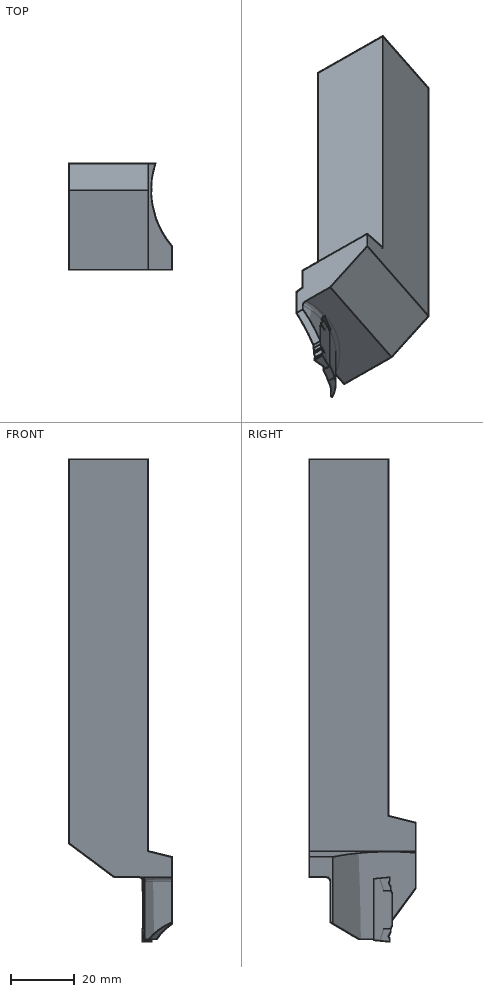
import cadquery as cq
import math


total_height = 151.35
shank_size = 24.9
base_x = 32.4
base_y = 33.4
side_flange_height = 8.2
rear_flange_height = 19.25
flange_slope = math.radians(14)
base_chamfer_x = 14.2
base_chamfer_z = 10.6

cutting_height_y = 25.0
blade_outer_x = 23.1
blade_outer_radius = 23.0
blade_inner_x = 25.85
blade_inner_radius = 27.0
blade_root_fillet = 1.2
blade_depth = 19.5
blade_heel_depth = 14.1
blade_heel_y = 6.5
blade_slope_end_y = 15.6
upper_jaw_depth = 13.4
upper_jaw_rear_depth = 3.5

insert_length = 20.3
insert_side_x = 23.15
insert_seat_y = 20.2
insert_top_y = 26.1
insert_body_width = 2.7
insert_tip_width = 3.1
side_clearance = math.radians(6)
cutting_edge_y = 25.3
tip_land = 0.9
chip_groove_y = 24.9
chip_groove_length = 1.8
chip_rise_length = 3.1
head_length = 4.2
head_top_y = 25.6
clamp_land_length = 5.2
end_relief = 0.5
head_side_root_y = 23.3
head_side_end_y = 21.9

shank_height = total_height - insert_length
concave_cut_depth = 2 * insert_length


def block(size_x, size_y, z_bottom, z_top):
    return cq.Workplane("XY", origin=(0, 0, z_bottom)).box(
        size_x, size_y, z_top - z_bottom, centered=False)


def upright_cylinder(center_x, radius, z_bottom, z_top):
    return (cq.Workplane("XY", origin=(center_x, cutting_height_y, z_bottom))
            .circle(radius).extrude(z_top - z_bottom))


def side_prism(points, x_start, x_end):
    """Extrude a (Y, Z) outline along X."""
    return cq.Workplane("YZ", origin=(x_start, 0, 0)).polyline(points).close().extrude(x_end - x_start)


def make_shank_and_base():
    rear_drop = (base_y - shank_size) * math.tan(flange_slope)
    side_drop = (base_x - shank_size) * math.tan(flange_slope)
    shank = block(shank_size, shank_size, 0, shank_height)
    rear_flange = side_prism(
        [(0, 0), (base_y, 0), (base_y, rear_flange_height - rear_drop),
         (shank_size, rear_flange_height), (0, rear_flange_height)],
        0, shank_size)
    side_flange = (
        cq.Workplane("XZ")
        .polyline([(0, 0), (base_x, 0), (base_x, side_flange_height - side_drop),
                   (shank_size, side_flange_height), (0, side_flange_height)])
        .close().extrude(-base_y))
    chamfer = (
        cq.Workplane("XZ")
        .polyline([(0, 0), (base_chamfer_x, 0), (0, base_chamfer_z)])
        .close().extrude(-base_y))
    return shank.union(rear_flange).union(side_flange).cut(chamfer)


def make_blade():
    axis_x = blade_outer_x + blade_outer_radius
    flare_radius = blade_outer_radius + blade_root_fillet
    fillet_middle = blade_root_fillet * (1 - math.sqrt(0.5))
    column = (
        cq.Workplane("XZ", origin=(axis_x, cutting_height_y, 0))
        .moveTo(0, 0)
        .lineTo(flare_radius, 0)
        .threePointArc((blade_outer_radius + fillet_middle, -fillet_middle),
                       (blade_outer_radius, -blade_root_fillet))
        .lineTo(blade_outer_radius, -blade_depth)
        .lineTo(0, -blade_depth)
        .close()
        .revolve(360, (0, 0, 0), (0, 1, 0)))
    jaws = side_prism(
        [(0, 0), (0, -blade_root_fillet), (blade_heel_y, -blade_root_fillet),
         (blade_heel_y, -blade_heel_depth), (blade_slope_end_y, -blade_depth),
         (insert_seat_y, -blade_depth), (insert_seat_y, -upper_jaw_depth),
         (insert_top_y, -upper_jaw_depth), (base_y, -upper_jaw_rear_depth), (base_y, 0)],
        0, base_x)
    return column.intersect(jaws)


def make_insert_side_prism(width, center_x):
    """The insert's side outline, the same at both ends, at a given width."""
    end_outline = [
        (insert_seat_y, end_relief),
        (cutting_edge_y, 0),
        (cutting_edge_y, tip_land),
        (chip_groove_y, chip_groove_length),
        (head_top_y, chip_rise_length),
        (head_top_y, head_length),
        (insert_top_y, clamp_land_length),
    ]
    lower_end = [(y, distance - insert_length) for y, distance in end_outline]
    upper_end = [(y, -distance) for y, distance in reversed(end_outline)]
    return side_prism(lower_end + upper_end, center_x - width / 2, center_x + width / 2)


def make_tapered_bar(end_sections, side_slope, center_x):
    """Upright bar through a lower and an upper section, its sides widening towards +Y.

    Each section is its Z, the Y where it starts and its half width there.
    """
    bar = cq.Workplane("XY")
    height = 0
    for z, root_y, half_root in end_sections:
        half_top = half_root + side_slope * (base_y - root_y)
        bar = (bar.workplane(offset=z - height)
               .polyline([(center_x - half_root, root_y), (center_x + half_root, root_y),
                          (center_x + half_top, base_y), (center_x - half_top, base_y)])
               .close())
        height = z
    return bar.loft(ruled=True)


def make_insert():
    center_x = insert_side_x + insert_body_width / 2
    outline = make_insert_side_prism(2 * insert_tip_width, center_x)
    body_slope = math.tan(side_clearance)

    def body_section(z, y):
        return (z, y, insert_body_width / 2 - (insert_top_y - y) * body_slope)

    body = outline.intersect(make_tapered_bar(
        [body_section(-insert_length, insert_seat_y), body_section(0, insert_seat_y)],
        body_slope, center_x))

    end_section = body_section(-insert_length, head_side_end_y)
    inner_section = body_section(head_length - insert_length, head_side_root_y)
    end_half_width = end_section[2]
    head_slope = (insert_tip_width / 2 - end_half_width) / (cutting_edge_y - head_side_end_y)
    lower_head = outline.intersect(
        make_tapered_bar([end_section, inner_section], head_slope, center_x))
    upper_head = lower_head.mirror("XY", (0, 0, -insert_length / 2))
    return body.union(lower_head).union(upper_head)


concave_cut = upright_cylinder(blade_inner_x + blade_inner_radius, blade_inner_radius,
                               -concave_cut_depth, shank_height)
insert_seat = make_insert_side_prism(base_x, base_x / 2)
holder = make_shank_and_base().union(make_blade()).cut(concave_cut).cut(insert_seat)
insert = make_insert()

result = cq.Compound.makeCompound([holder.solids().val(), insert.solids().val()])